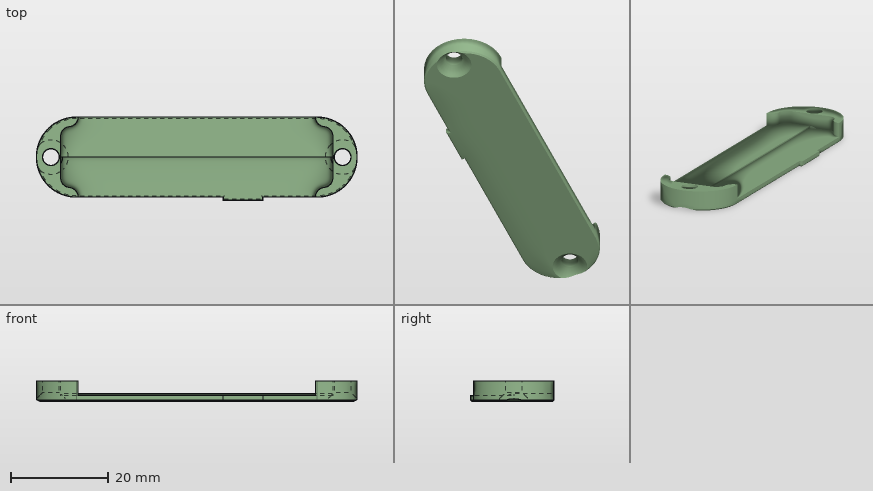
import cadquery as cq
import math

body_length = 65.94
body_width = 16.5
body_height = 4.2
end_radius = body_width / 2
bottom_chamfer = 0.3

rear_floor_height = 1.6
front_floor_height = 1.2

end_wall_thickness = 5.0
horn_curve_radius = 2.0
horn_reach = 3.6

hole_diameter = 3.4
hole_edge_distance = 3.0
countersink_radius = 3.55
countersink_skin = 0.04

tab_width = 8.2
tab_projection = 0.66
tab_center_x = 9.5

wall_x = body_length / 2 - end_wall_thickness
hole_x = body_length / 2 - hole_edge_distance


def make_body():
    """Full-height bar and low front tab, with the bottom edge chamfered all round."""
    bar = cq.Workplane("XY").slot2D(body_length, body_width).extrude(body_height)
    tab_depth = end_radius + tab_projection
    tab = (
        cq.Workplane("XY")
        .center(tab_center_x, -tab_depth / 2)
        .rect(tab_width, tab_depth)
        .extrude(front_floor_height)
    )
    return bar.union(tab).faces("<Z").edges().chamfer(bottom_chamfer)


def pocket_to_front_floor():
    """Pocket down to the front floor; each corner is two equal, opposite arcs forming an S."""
    sweep = math.acos(1 - horn_reach / (2 * horn_curve_radius))
    curve_height = 2 * horn_curve_radius * math.sin(sweep)
    curve_middle = (wall_x - horn_reach / 2, end_radius - curve_height / 2)
    horn_tip = (wall_x - horn_reach, end_radius)

    quarter = (
        cq.Workplane("XY", origin=(0, 0, front_floor_height))
        .lineTo(wall_x, 0)
        .lineTo(wall_x, end_radius - curve_height)
        .tangentArcPoint(curve_middle, relative=False)
        .tangentArcPoint(horn_tip, relative=False)
        .lineTo(0, end_radius)
        .close()
        .extrude(body_height - front_floor_height)
    )
    half = quarter.union(quarter.mirror("XZ"))
    return half.union(half.mirror("YZ"))


def make_pocket():
    """Volume above the stepped floor, deeper on the front half."""
    rear_step = (
        cq.Workplane("XY")
        .box(body_length, body_width, rear_floor_height, centered=(True, False, False))
    )
    return pocket_to_front_floor().cut(rear_step)


def cone_section(base_radius, bottom_z, top_z):
    """Slice, between two heights, of a 45 degree cone whose radius at Z = 0 is base_radius."""
    return cq.Solid.makeCone(
        base_radius - bottom_z,
        base_radius - top_z,
        top_z - bottom_z,
        pnt=cq.Vector(0, 0, bottom_z),
    )


def make_countersink_cover():
    """Thin conical bump keeping the countersink closed where it rises above the front floor."""
    return cone_section(countersink_radius + countersink_skin, front_floor_height, rear_floor_height)


def make_countersunk_hole():
    """Straight through hole with the conical screw-head recess below it."""
    hole_radius = hole_diameter / 2
    shank = cq.Solid.makeCylinder(hole_radius, body_height)
    return shank.fuse(cone_section(countersink_radius, 0, countersink_radius - hole_radius))


result = make_body().cut(make_pocket())
for x in (-hole_x, hole_x):
    position = cq.Vector(x, 0, 0)
    result = result.union(make_countersink_cover().translate(position))
    result = result.cut(make_countersunk_hole().translate(position))